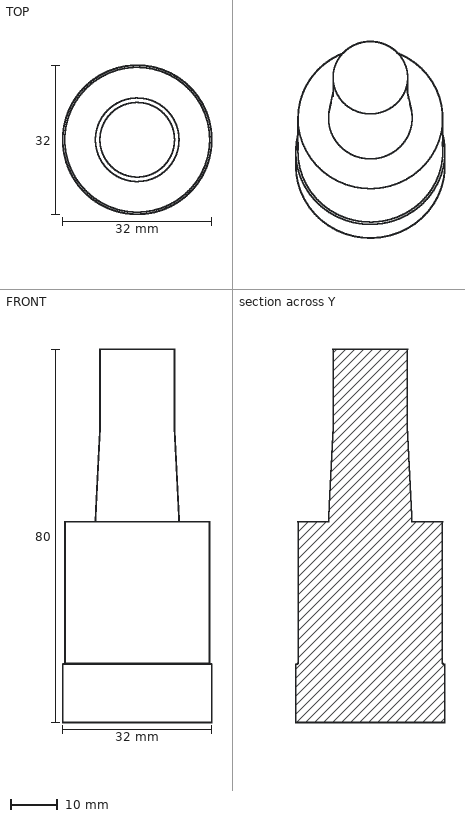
import cadquery as cq

base_radius = 32.0 / 2
body_radius = 31.0 / 2
collar_radius = 17.9 / 2
tip_radius = 16.0 / 2

base_top = 12.5
body_bottom = 12.6
body_top = 43.0
collar_top = 44.0
taper_top = 63.0
total_height = 80.0

profile = (
    cq.Workplane("XZ")
    .moveTo(0, 0)
    .lineTo(base_radius, 0)
    .lineTo(base_radius, base_top)
    .lineTo(body_radius, body_bottom)
    .lineTo(body_radius, body_top)
    .lineTo(collar_radius, body_top)
    .lineTo(collar_radius, collar_top)
    .lineTo(tip_radius, taper_top)
    .lineTo(tip_radius, total_height)
    .lineTo(0, total_height)
    .close()
)

result = profile.revolve(360, (0, 0, 0), (0, 1, 0))